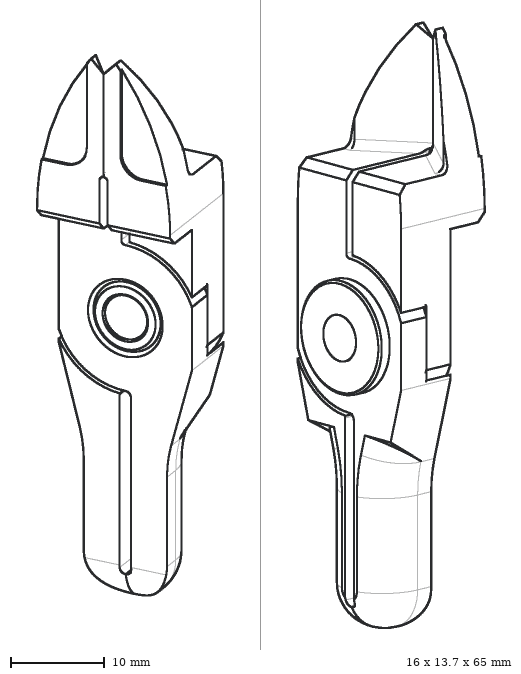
import cadquery as cq
import math


half_width = 8.0
tip_z = 32.0
bottom_z = -33.0
tip_x = 1.5
jaw_arc_start_z = 13.3
shoulder_z = -4.5
handle_half_width = 5.0
taper_angle = math.radians(15)
taper_blend_radius = 14.5

lap_depth = 7.3
lap_middle = 3.6
jaw_reach = 5.0

jaw_underside_z = 11.95
jaw_back_step_z = 18.0
jaw_chamfer = 1.0
blade_angle = math.radians(36)
blade_root_radius = 1.0
relief_depth = 0.3
relief_x = 2.0
relief_z = 19.0
relief_corner_radius = 2.55

jaw_slot_width = 1.0
jaw_slot_top = 18.45
handle_slot_width = 1.35
handle_slot_bottom = -29.95

disc_radius = 8.5
disc_clearance_radius = 9.0

rounding_start_y = 2.0
rounding_radius = 5.5
rounding_top_front_z = -13.7
rounding_top_back_z = -10.5
end_round_start_z = -29.0

rivet_radius = 4.0
rivet_chamfer = 0.4
countersink = 0.45
rivet_bore_radius = 2.55
rivet_bore_chamfer = 0.2
rivet_head_radius = 6.25
rivet_head_height = 1.4
rivet_head_chamfer = 0.25

clear = 3.25

taper_corner_z = shoulder_z - (half_width - handle_half_width) / math.tan(taper_angle)
blend_length = taper_blend_radius * math.tan(taper_angle / 2)
blend_bottom_z = taper_corner_z - blend_length
blend_top_z = taper_corner_z + blend_length * math.cos(taper_angle)
blend_top_x = handle_half_width + blend_length * math.sin(taper_angle)
blend_middle_x = handle_half_width + taper_blend_radius * (1 - math.cos(taper_angle / 2))
blend_middle_z = blend_bottom_z + taper_blend_radius * math.sin(taper_angle / 2)
handle_end_z = bottom_z + handle_half_width


def front_plane(y):
    """X-Z sketch plane at depth y; its normal points towards -Y."""
    return cq.Workplane("XZ", origin=(0, y, 0))


def prism(sketch, depth):
    """Extrude an X-Z sketch towards +Y."""
    return sketch.extrude(-depth)


def cylinder(radius, y_from, y_to):
    return prism(front_plane(y_from).circle(radius), y_to - y_from)


def box(x_from, x_to, y_from, y_to, z_from, z_to):
    size = (x_to - x_from, y_to - y_from, z_to - z_from)
    return cq.Workplane("XY").box(*size, centered=False).translate((x_from, y_from, z_from))


def half_outline():
    """Right half of the tool, full depth from jaw front to joint back."""
    sketch = (
        front_plane(-jaw_reach)
        .moveTo(0, bottom_z)
        .radiusArc((handle_half_width, handle_end_z), -handle_half_width)
        .lineTo(handle_half_width, blend_bottom_z)
        .threePointArc((blend_middle_x, blend_middle_z), (blend_top_x, blend_top_z))
        .lineTo(half_width, shoulder_z)
        .lineTo(half_width, jaw_arc_start_z)
        .tangentArcPoint((tip_x, tip_z), relative=False)
        .lineTo(0, tip_z - tip_x)
        .close()
    )
    return prism(sketch, jaw_reach + lap_depth)


def side_profile():
    """Stepped side profile: jaws forward of the joint, handle ends curved at the front."""
    return (
        cq.Workplane("YZ")
        .moveTo(lap_depth, bottom_z)
        .lineTo(lap_depth, jaw_back_step_z - jaw_chamfer)
        .lineTo(lap_depth - jaw_chamfer, jaw_back_step_z)
        .lineTo(lap_depth - jaw_chamfer, tip_z)
        .lineTo(-jaw_reach, tip_z)
        .lineTo(-jaw_reach, jaw_underside_z + jaw_chamfer)
        .lineTo(-jaw_reach + jaw_chamfer, jaw_underside_z)
        .lineTo(0, jaw_underside_z)
        .lineTo(0, end_round_start_z)
        .tangentArcPoint((rounding_start_y, bottom_z), relative=False)
        .close()
        .extrude(half_width)
    )


def blade_back_cut():
    """Space behind the blade: slopes from the cutting edge out to the joint face."""
    slope_end_x = jaw_reach / math.tan(blade_angle)
    return (
        cq.Workplane("XY", origin=(0, 0, jaw_back_step_z))
        .moveTo(-clear, -jaw_reach - clear * math.tan(blade_angle))
        .lineTo(slope_end_x, 0)
        .lineTo(half_width + clear, 0)
        .lineTo(half_width + clear, lap_depth + clear)
        .lineTo(-clear, lap_depth + clear)
        .close()
        .extrude(tip_z - jaw_back_step_z + clear)
        .faces("<Z")
        .edges("not (|Y or >Y)")
        .fillet(blade_root_radius)
    )


def jaw_relief_cut():
    """Shallow step on the jaw front, outside the strip along the cutting edge."""
    step = box(relief_x, half_width + clear, -jaw_reach, -jaw_reach + relief_depth, relief_z, tip_z)
    return step.edges("|Y and <X and <Z").fillet(relief_corner_radius)


def handle_rounding_cut():
    """Material taken off the back edge of a handle, following its outline."""
    inset = rounding_radius - math.sqrt(rounding_radius**2 - (lap_depth - rounding_start_y) ** 2)
    path = (
        front_plane(0)
        .moveTo(half_width, shoulder_z)
        .lineTo(blend_top_x, blend_top_z)
        .threePointArc((blend_middle_x, blend_middle_z), (handle_half_width, blend_bottom_z))
        .lineTo(handle_half_width, handle_end_z)
        .radiusArc((0, bottom_z), handle_half_width)
    )
    along = cq.Vector(-math.sin(taper_angle), 0, -math.cos(taper_angle))
    section_plane = cq.Plane(
        origin=(half_width, 0, shoulder_z),
        xDir=(-math.cos(taper_angle), 0, math.sin(taper_angle)),
        normal=along.toTuple(),
    )
    sweep = (
        cq.Workplane(section_plane)
        .moveTo(0, rounding_start_y)
        .radiusArc((inset, lap_depth), rounding_radius)
        .lineTo(-clear, lap_depth)
        .lineTo(-clear, rounding_start_y)
        .close()
        .sweep(path)
    )
    below_slant = (
        cq.Workplane("YZ")
        .moveTo(rounding_start_y, rounding_top_front_z)
        .lineTo(lap_depth, rounding_top_back_z)
        .lineTo(lap_depth, bottom_z - clear)
        .lineTo(rounding_start_y, bottom_z - clear)
        .close()
        .extrude(half_width + clear)
    )
    return sweep.intersect(below_slant)


def slot(width, z_from, z_to):
    """Round-ended slot on the centre plane, cut through the whole depth."""
    length = z_to - z_from
    sketch = front_plane(-jaw_reach - clear).center(0, (z_from + z_to) / 2).slot2D(length, width, 90)
    return prism(sketch, jaw_reach + lap_depth + 2 * clear)


def make_side_blanks():
    """Right and left sides of the tool, full depth, before they are parted at the joint."""
    right = half_outline().intersect(side_profile())
    right = right.cut(blade_back_cut()).cut(jaw_relief_cut()).cut(handle_rounding_cut())
    return right, right.mirror("YZ")


def make_plier_half(jaw, handle, own_disc, other_disc):
    """One jaw, the opposite handle and the lap disc joining them.

    own_disc and other_disc are the Y ranges of this half's disc and of the mating one.
    """
    upper = box(-half_width, half_width, -jaw_reach, lap_depth, 0, tip_z)
    lower = box(-half_width, half_width, 0, lap_depth, bottom_z, 0)
    upper_jaw = jaw.intersect(upper).cut(slot(jaw_slot_width, disc_radius, jaw_slot_top))
    lower_handle = handle.intersect(lower).cut(slot(handle_slot_width, handle_slot_bottom, -disc_radius))
    clearance = cylinder(disc_clearance_radius, *other_disc)
    whole_width = jaw.union(handle)
    disc = cylinder(disc_radius, *own_disc).intersect(whole_width)
    half = upper_jaw.cut(clearance).union(disc).union(lower_handle.cut(clearance))
    return half.cut(cylinder(rivet_radius, 0, lap_depth))


def rivet_countersink():
    """Cone that opens the rivet hole at the front face."""
    mouth_radius = rivet_radius + countersink
    mouth_centre = cq.Vector(0, 0, 0)
    inward = cq.Vector(0, 1, 0)
    cone = cq.Solid.makeCone(mouth_radius, rivet_radius, countersink, mouth_centre, inward)
    return cq.Workplane(cone)


def make_rivet():
    """Hollow rivet with a flat head behind the joint."""
    shank = cylinder(rivet_radius, 0, lap_depth).faces("<Y").chamfer(rivet_chamfer)
    head = cylinder(rivet_head_radius, lap_depth, lap_depth + rivet_head_height)
    head = head.faces(">Y").chamfer(rivet_head_chamfer)
    rivet = shank.union(head).cut(cylinder(rivet_bore_radius, 0, lap_depth + rivet_head_height))
    bore_rim = rivet.faces("<Y").edges(cq.selectors.RadiusNthSelector(0))
    return bore_rim.chamfer(rivet_bore_chamfer)


right_side, left_side = make_side_blanks()
front_layer = (0, lap_middle)
back_layer = (lap_middle, lap_depth)

front_half = make_plier_half(left_side, right_side, front_layer, back_layer)
front_half = front_half.cut(rivet_countersink())
back_half = make_plier_half(right_side, left_side, back_layer, front_layer)
rivet = make_rivet()

result = cq.Compound.makeCompound([front_half.val(), back_half.val(), rivet.val()])